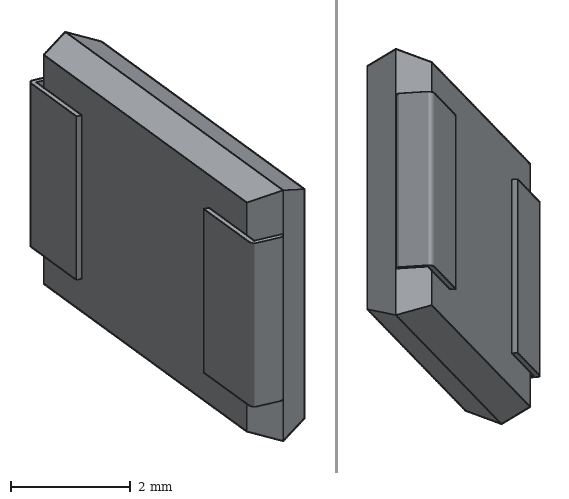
import cadquery as cq

BODY_LENGTH = 7.4
BODY_HEIGHT = 4.6
END_TAPER = 0.25
SIDE_TAPER = 0.2

TERMINAL_THICKNESS = 0.1
TERMINAL_HEIGHT = 3.0
TERMINAL_REACH = 1.64
CORNER_RADIUS = TERMINAL_THICKNESS
RIDGE_CLEARANCE = 0.01
OVERALL_LENGTH = BODY_LENGTH + 2 * TERMINAL_THICKNESS
OVERALL_DEPTH = 1.21
BODY_DEPTH = OVERALL_DEPTH - TERMINAL_THICKNESS

BACK_Y = OVERALL_DEPTH / 2
RIDGE_Y = BACK_Y - BODY_DEPTH / 2
TERMINAL_OUTER_Y = -OVERALL_DEPTH / 2
TERMINAL_INNER_Y = TERMINAL_OUTER_Y + TERMINAL_THICKNESS
UPRIGHT_END_Y = RIDGE_Y - RIDGE_CLEARANCE


def tapered_half(face_y):
    """Half of the body, narrowing from the ridge to a flat face at face_y."""
    ridge = cq.Workplane("XZ", origin=(0, RIDGE_Y, 0)).rect(BODY_LENGTH, BODY_HEIGHT)
    return (
        ridge.workplane(offset=RIDGE_Y - face_y)
        .rect(BODY_LENGTH - 2 * END_TAPER, BODY_HEIGHT - 2 * SIDE_TAPER)
        .loft(ruled=True)
    )


def left_terminal():
    """L-shaped strip: an upright over the end and a pad under the front face."""
    outer_x = -OVERALL_LENGTH / 2
    inner_x = outer_x + TERMINAL_THICKNESS
    pad_end_x = outer_x + TERMINAL_REACH
    return (
        cq.Workplane("XY", origin=(0, 0, -TERMINAL_HEIGHT / 2))
        .moveTo(pad_end_x, TERMINAL_OUTER_Y)
        .lineTo(pad_end_x, TERMINAL_INNER_Y)
        .lineTo(inner_x, TERMINAL_INNER_Y)
        .lineTo(inner_x, UPRIGHT_END_Y)
        .radiusArc((outer_x, UPRIGHT_END_Y - CORNER_RADIUS), -CORNER_RADIUS)
        .lineTo(outer_x, TERMINAL_OUTER_Y + CORNER_RADIUS)
        .radiusArc((outer_x + CORNER_RADIUS, TERMINAL_OUTER_Y), -CORNER_RADIUS)
        .close()
        .extrude(TERMINAL_HEIGHT)
    )


terminal = left_terminal()
body = tapered_half(BACK_Y).union(tapered_half(TERMINAL_INNER_Y))
result = body.union(terminal).union(terminal.mirror("YZ"))